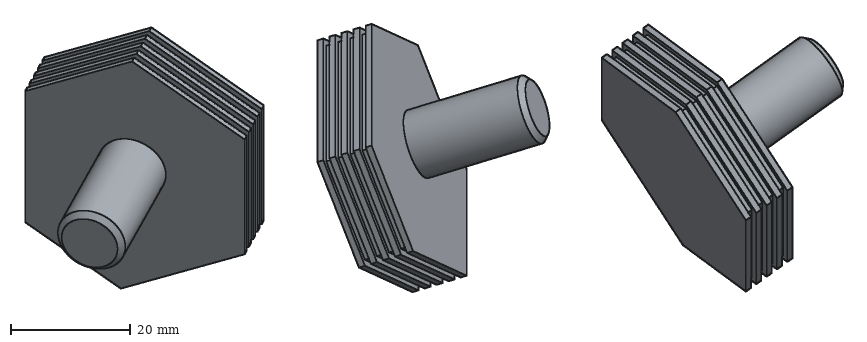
import cadquery as cq
import math

width = 39.0
height = 48.5
depth = 32.0

plate_thickness = 10.0
left_side = -19.0
top_corner_z = 22.5
bottom_corner_x = -2.0
side_slope = math.tan(math.radians(30))

groove_count = 4
groove_depth = 1.15
fin_thickness = plate_thickness / (2 * groove_count + 1)

pin_diameter = 12.0
pin_length = depth - plate_thickness
pin_chamfer = 1.0

right_side = left_side + width
bottom_corner_z = top_corner_z - height


def plate_outline():
    """Corners (X, Z) of the plate, clockwise from the top."""
    return [
        (0, top_corner_z),
        (right_side, top_corner_z - side_slope * right_side),
        (right_side, bottom_corner_z + side_slope * (right_side - bottom_corner_x)),
        (bottom_corner_x, bottom_corner_z),
        (left_side, bottom_corner_z + side_slope * (bottom_corner_x - left_side)),
        (left_side, top_corner_z + side_slope * left_side),
    ]


def slab(front_y, thickness, inset=0):
    """Slab with the plate outline moved inward by inset, reaching back from front_y."""
    sketch = cq.Workplane("XZ", origin=(0, front_y, 0)).polyline(plate_outline()).close()
    if inset:
        sketch = sketch.offset2D(-inset, "intersection")
    return sketch.extrude(-thickness)


plate = slab(0, plate_thickness, groove_depth)
for index in range(groove_count + 1):
    plate = plate.union(slab(2 * index * fin_thickness, fin_thickness))

pin = cq.Workplane("XZ").circle(pin_diameter / 2).extrude(pin_length)
pin = pin.faces("<Y").chamfer(pin_chamfer)

result = plate.union(pin)